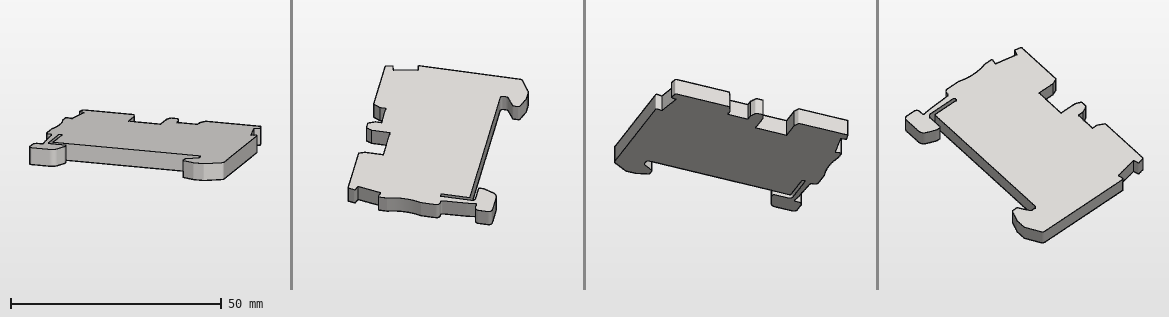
import cadquery as cq
import math

LENGTH = 48.2
HEIGHT = 35.3
THICKNESS = 4.2

SHOULDER_Y = 27.6
NOTCH_FOOT = (1.6, 27.35)
NOTCH_HEAD = (2.75, 33.05)
LIP_TIP = (1.35, 33.45)
TOP_INSET = 1.75
SMALL_RADIUS = 0.3
LIP_RADIUS = 0.15

WIDE_LEFT, WIDE_RIGHT, WIDE_FLOOR = 15.15, 23.2, 29.4
NARROW_LEFT, NARROW_RIGHT, NARROW_FLOOR = 26.35, 31.55, 32.1
WIDE_BEVEL_Y = 33.85
NARROW_BEVEL_Y = 33.55
WIDE_BEVEL = 0.65
TAB_BEVEL = 0.8
NARROW_BEVEL = 0.95
TAB_RADIUS = 0.6
BEVEL_RADIUS = 0.2

HOLLOW_TOP, HOLLOW_BOTTOM = 25.4, 17.15
HOLLOW_DEPTH = 0.65

BODY_FOOT_Y = 12.7
ARM_ROOT_X, ARM_END_X = 1.65, 2.25
ARM_BEND = (2.0, 6.4)
ARM_ROOT_RADIUS, ARM_END_RADIUS = 0.5, 0.25
SLOT_LEFT, SLOT_RIGHT, SLOT_TOP = 3.2, 4.05, 13.1
SLOT_LEFT_RADIUS, SLOT_RIGHT_RADIUS = 0.35, 0.2
RAIL_Y = 6.15

FOOT_TOP, FOOT_LEDGE = 4.15, 4.75
FOOT_TOE_X, FOOT_BASE_X = 7.9, 6.45
FOOT_TOE_Y = 3.55
FOOT_RADIUS = 0.9
FOOT_BASE_RADIUS = 1.7
FOOT_TOE_RADIUS = 1.2

HOOK_THROAT_X, HOOK_TIP_X = 41.3, 38.4
HOOK_THROAT_Y, HOOK_TIP_TOP, HOOK_TIP_BOTTOM = 4.5, 2.65, 1.05
HOOK_BASE_LEFT, HOOK_BASE_RIGHT = 41.5, 44.1
HEEL_Y = 2.4
THROAT_RADIUS = 0.6
HOOK_TIP_RADIUS = 0.4
HEEL_RADIUS = 0.85


def marker_notch():
    """Corners of the left marker notch from shoulder to top edge, as (x, y, radius)."""
    return [
        (0, SHOULDER_Y, SMALL_RADIUS),
        (*NOTCH_FOOT, 0),
        (*NOTCH_HEAD, 0),
        (*LIP_TIP, LIP_RADIUS),
        (TOP_INSET, HEIGHT, SMALL_RADIUS),
    ]


def mirrored(corners):
    """Reflect corners about the middle of the length, keeping the winding direction."""
    return [(LENGTH - x, y, radius) for x, y, radius in reversed(corners)]


def top_recesses():
    return [
        (WIDE_LEFT - WIDE_BEVEL, HEIGHT, BEVEL_RADIUS),
        (WIDE_LEFT, WIDE_BEVEL_Y, 0),
        (WIDE_LEFT, WIDE_FLOOR, 0),
        (WIDE_RIGHT, WIDE_FLOOR, 0),
        (WIDE_RIGHT, WIDE_BEVEL_Y, 0),
        (WIDE_RIGHT + WIDE_BEVEL, HEIGHT, BEVEL_RADIUS),
        (NARROW_LEFT - TAB_BEVEL, HEIGHT, TAB_RADIUS),
        (NARROW_LEFT, NARROW_BEVEL_Y, 0),
        (NARROW_LEFT, NARROW_FLOOR, 0),
        (NARROW_RIGHT, NARROW_FLOOR, 0),
        (NARROW_RIGHT, NARROW_BEVEL_Y, 0),
        (NARROW_RIGHT + NARROW_BEVEL, HEIGHT, BEVEL_RADIUS),
    ]


def rail_hook():
    return [
        (LENGTH, HEEL_Y, HEEL_RADIUS),
        (HOOK_BASE_RIGHT, 0, SMALL_RADIUS),
        (HOOK_BASE_LEFT, 0, SMALL_RADIUS),
        (HOOK_TIP_X, HOOK_TIP_BOTTOM, HOOK_TIP_RADIUS),
        (HOOK_TIP_X, HOOK_TIP_TOP, HOOK_TIP_RADIUS),
        (HOOK_THROAT_X, HOOK_THROAT_Y, THROAT_RADIUS),
        (HOOK_THROAT_X, RAIL_Y, THROAT_RADIUS),
    ]


def spring_arm():
    return [
        (SLOT_RIGHT, RAIL_Y, SLOT_RIGHT_RADIUS),
        (SLOT_RIGHT, SLOT_TOP, SLOT_RIGHT_RADIUS),
        (SLOT_LEFT, SLOT_TOP, SLOT_LEFT_RADIUS),
        (SLOT_LEFT, FOOT_LEDGE, FOOT_RADIUS),
        (FOOT_TOE_X, FOOT_LEDGE, SMALL_RADIUS),
        (FOOT_TOE_X, FOOT_TOE_Y, FOOT_TOE_RADIUS),
        (FOOT_BASE_X, 0, FOOT_BASE_RADIUS),
        (0, 0, FOOT_RADIUS),
        (0, FOOT_TOP, FOOT_RADIUS),
        (ARM_END_X, FOOT_TOP, ARM_END_RADIUS),
        (*ARM_BEND, 0),
        (ARM_ROOT_X, BODY_FOOT_Y, ARM_ROOT_RADIUS),
        (0, BODY_FOOT_Y, FOOT_RADIUS),
    ]


def corner_points(before, corner, after):
    """Start, middle and end of the arc that rounds a corner between two straight sides."""
    x, y, radius = corner
    vertex = cq.Vector(x, y)
    to_before = (cq.Vector(*before[:2]) - vertex).normalized()
    to_after = (cq.Vector(*after[:2]) - vertex).normalized()
    half_angle = to_before.getAngle(to_after) / 2
    setback = radius / math.tan(half_angle)
    to_centre = (to_before + to_after).normalized()
    middle_distance = radius / math.sin(half_angle) - radius
    return (
        vertex + to_before * setback,
        vertex + to_centre * middle_distance,
        vertex + to_after * setback,
    )


def rounded_plate(corners):
    """Extrude the closed outline, rounding each corner by its own radius."""
    outline = cq.Workplane("XY").moveTo(0, HOLLOW_TOP)
    for index, corner in enumerate(corners):
        following = corners[(index + 1) % len(corners)]
        start, middle, end = corner_points(corners[index - 1], corner, following)
        outline = outline.lineTo(start.x, start.y)
        if corner[2] > 0:
            outline = outline.threePointArc((middle.x, middle.y), (end.x, end.y))
    hollow_middle = (HOLLOW_DEPTH, (HOLLOW_TOP + HOLLOW_BOTTOM) / 2)
    outline = outline.lineTo(0, HOLLOW_BOTTOM)
    outline = outline.threePointArc(hollow_middle, (0, HOLLOW_TOP))
    return outline.close().extrude(THICKNESS)


left_notch = marker_notch()
outline_corners = left_notch + top_recesses() + mirrored(left_notch) + rail_hook() + spring_arm()
result = rounded_plate(outline_corners)